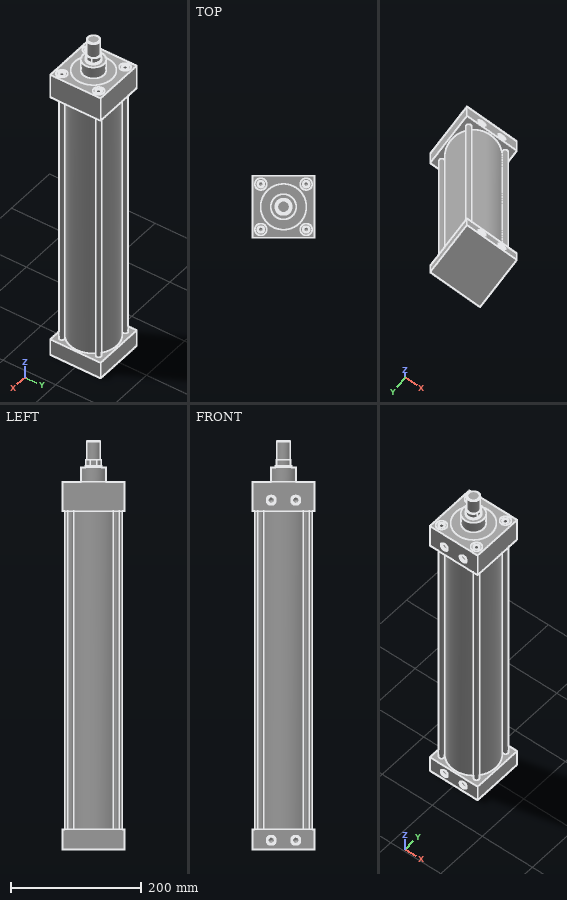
import cadquery as cq
import math

total_length = 628.5
block_width = 95.5

cap_top = 31.5
head_bottom = 520.5
head_top = 566.0
boss_top = 588.0
neck_bottom = 590.0
neck_top = 600.0

barrel_diameter = 88.5

tie_rod_diameter = 9.5
tie_rod_spacing = 70.0
screw_head_diameter = 18.0
screw_head_height = 19.0
screw_hole_mouth = 11.0
screw_hole_drill = 8.0
screw_hole_depth = 12.5

gland_diameter = 70.5
boss_diameter = 39.0

rod_diameter = 25.0
neck_diameter = 24.0
flats_width = 22.0
rod_end_diameter = 21.5
rod_end_chamfer = 1.0

port_mouth = 14.5
port_drill = 11.0
port_depth = 12.5
port_spacing = 38.0
head_port_height = 537.5
cap_port_height = 14.5

drill_point_angle = 118


def cylinder(diameter, bottom, top):
    """Round bar on the Z axis between two levels."""
    return cq.Workplane("XY").workplane(offset=bottom).circle(diameter / 2).extrude(top - bottom)


def drilled_hole(mouth_diameter, drill_diameter, depth):
    """Tool for a blind hole going down from the origin: 45 degree mouth, bore and conical bottom."""
    mouth_radius = mouth_diameter / 2
    drill_radius = drill_diameter / 2
    mouth_depth = mouth_radius - drill_radius
    point_depth = drill_radius / math.tan(math.radians(drill_point_angle / 2))
    outline = [
        (0, 0),
        (mouth_radius, 0),
        (drill_radius, -mouth_depth),
        (drill_radius, -depth),
        (0, -depth - point_depth),
    ]
    return cq.Workplane("XZ").polyline(outline).close().revolve(360, (0, 0, 0), (0, 1, 0))


def tie_rod():
    """One tie rod on the Z axis, from the cap to its screw head flush with the head top."""
    screw_head = cylinder(screw_head_diameter, head_top - screw_head_height, head_top)
    return cylinder(tie_rod_diameter, cap_top, head_top).union(screw_head)


def at_tie_rods(shape):
    """Four copies of a shape, one on each tie rod axis."""
    half = tie_rod_spacing / 2
    return [shape.translate((x, y, 0)) for x in (-half, half) for y in (-half, half)]


def end_block(bottom, top, port_height):
    """Square block with a pair of blind ports in its -Y face."""
    block = cq.Workplane("XY").workplane(offset=bottom).rect(block_width, block_width).extrude(top - bottom)
    port = drilled_hole(port_mouth, port_drill, port_depth).rotate((0, 0, 0), (1, 0, 0), 90)
    for x in (-port_spacing / 2, port_spacing / 2):
        block = block.cut(port.translate((x, -block_width / 2, port_height)))
    return block


def make_head():
    """Front head block with a bore for the gland and stepped holes for the tie rods."""
    head = end_block(head_bottom, head_top, head_port_height)
    head = head.cut(cylinder(gland_diameter, head_bottom, head_top))
    for rod_hole in at_tie_rods(tie_rod()):
        head = head.cut(rod_hole)
    return head


def make_housing():
    """Rear cap in one piece with the barrel and the four tie rods."""
    housing = end_block(0, cap_top, cap_port_height)
    housing = housing.union(cylinder(barrel_diameter, cap_top, head_bottom))
    screw_hole = drilled_hole(screw_hole_mouth, screw_hole_drill, screw_hole_depth)
    drilled_rod = tie_rod().cut(screw_hole.translate((0, 0, head_top)))
    for rod in at_tie_rods(drilled_rod):
        housing = housing.union(rod)
    return housing


def make_gland():
    """Round gland flush with the head top, with a boss around the piston rod."""
    gland = cylinder(gland_diameter, head_bottom, head_top)
    gland = gland.union(cylinder(boss_diameter, head_top, boss_top))
    return gland.cut(cylinder(rod_diameter, head_bottom, boss_top))


def make_piston_rod():
    """Piston rod with a neck flattened on its -X and +X sides and a thinner end."""
    shaft = cylinder(rod_diameter, head_bottom, neck_bottom)
    neck_height = neck_top - neck_bottom
    flats = cq.Workplane("XY").workplane(offset=neck_bottom).rect(flats_width, neck_diameter).extrude(neck_height)
    neck = cylinder(neck_diameter, neck_bottom, neck_top).intersect(flats)
    end = cylinder(rod_end_diameter, neck_top, total_length).faces(">Z").chamfer(rod_end_chamfer)
    return shaft.union(neck).union(end)


head = make_head()
housing = make_housing()
gland = make_gland()
piston_rod = make_piston_rod()

bodies = [head, housing, gland, piston_rod]
result = cq.Compound.makeCompound([body.solids().val() for body in bodies])